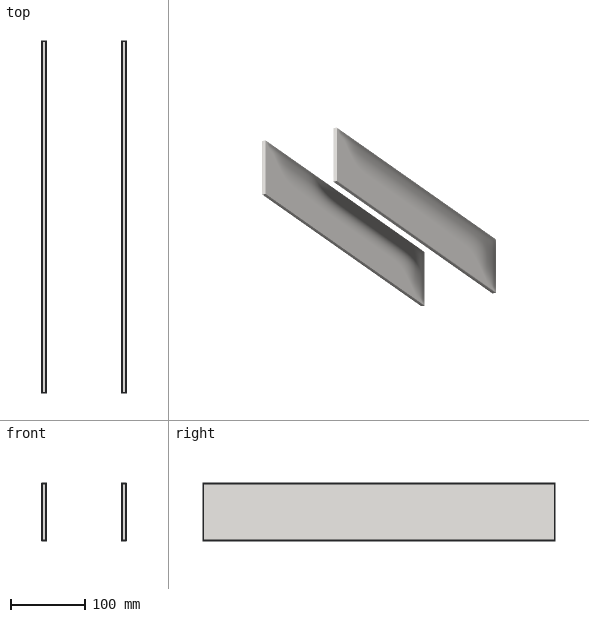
import cadquery as cq

overall_width = 113.06
plate_length = 472.5
plate_height = 77.0

inner_gap = 102.0
plate_thickness = (overall_width - inner_gap) / 2

edge_chamfer = 0.5

plate_offset = (inner_gap + plate_thickness) / 2


def side_plate(outer_side):
    """Plate standing on edge along Y; outer_side is -1 or 1, the X direction its outer face looks."""
    outer_face = ">X" if outer_side > 0 else "<X"
    plate = cq.Workplane("XY").box(plate_thickness, plate_length, plate_height)
    plate = plate.faces(outer_face).edges("|Y").chamfer(edge_chamfer)
    return plate.translate((outer_side * plate_offset, 0, 0))


side_plates = [side_plate(outer_side) for outer_side in (-1, 1)]

result = cq.Compound.makeCompound([plate.val() for plate in side_plates])